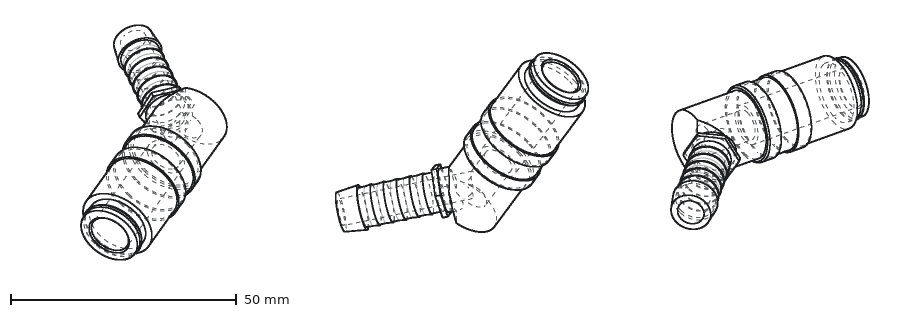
import cadquery as cq
import math


spigot_radius = 7.0
lip_radius = 7.25
body_radius = 8.55
ring_radius = 9.0
sleeve_radius = 8.0

lip_start = 1.3
lip_width = 0.8
spigot_end = 4.1
ring_width = 3.4
first_ring_start = 16.6
second_ring_start = 24.6
sleeve_end = 42.5
ring_chamfer = 0.4

bore_radius = 4.6
bore_chamfer = 0.4
inner_bore_radius = 3.5

stem_angle = 45
stem_origin_y = 34.9
stem_length = 32.5
stem_radius = 4.5
stem_bore_radius = 3.0
neck_radius = 4.95
shoulder_distance = 7.0

collar_across_flats = 11.0
collar_width = 1.2
collar_outer_setback = 22.5

end_barb_radius = 5.1
end_barb_length = 5.0
barb_height = 0.2
barb_length = 1.5
barb_pitch = 3.0
barb_count = 5

first_ring_end = first_ring_start + ring_width
body_end = second_ring_start + ring_width
barb_radius = stem_radius + barb_height
collar_start = stem_length - collar_outer_setback - collar_width
collar_across_corners = collar_across_flats / math.cos(math.pi / 6)
inner_bore_end = stem_origin_y + stem_bore_radius / math.sin(math.radians(stem_angle))

stem_plane = cq.Plane(
    origin=(0, stem_origin_y, 0),
    xDir=(0, 0, 1),
    normal=(-math.sin(math.radians(stem_angle)), math.cos(math.radians(stem_angle)), 0),
)


def revolve_about_y(workplane, profile):
    """Full revolution of (radius, distance) points about the workplane's local Y axis."""
    return workplane.polyline(profile).close().revolve(360, (0, 0, 0), (0, 1, 0))


def make_body():
    """Revolved outside of the coupling body, with its sleeve cut square to the stem."""
    lip_end = lip_start + lip_width
    profile = [
        (0, 0),
        (spigot_radius, 0),
        (spigot_radius, lip_start),
        (lip_radius, lip_start + lip_width / 2),
        (spigot_radius, lip_end),
        (spigot_radius, spigot_end),
        (body_radius, spigot_end),
        (body_radius, first_ring_start),
        (ring_radius, first_ring_start),
        (ring_radius, first_ring_end),
        (body_radius, first_ring_end),
        (body_radius, second_ring_start),
        (ring_radius, second_ring_start),
        (ring_radius, body_end - ring_chamfer),
        (ring_radius - ring_chamfer, body_end),
        (sleeve_radius, body_end),
        (sleeve_radius, sleeve_end),
        (0, sleeve_end),
    ]
    body = revolve_about_y(cq.Workplane("XY"), profile)
    cutter_size = 4 * sleeve_radius
    cutter = (
        cq.Workplane(stem_plane)
        .workplane(offset=shoulder_distance)
        .rect(cutter_size, cutter_size)
        .extrude(cutter_size)
    )
    return body.cut(cutter)


def make_stem():
    """Revolved hose stem with a large end barb and a row of small barbs."""
    barbs_end = stem_length - end_barb_length
    profile = [
        (0, stem_length),
        (stem_radius, stem_length),
        (end_barb_radius, barbs_end),
        (stem_radius, barbs_end),
    ]
    for index in range(barb_count):
        barb_root = barbs_end - index * barb_pitch - (barb_pitch - barb_length)
        barb_edge = barb_root - barb_length
        profile += [(stem_radius, barb_root), (barb_radius, barb_edge), (stem_radius, barb_edge)]
    profile += [
        (stem_radius, collar_start),
        (neck_radius, collar_start),
        (neck_radius, 0),
        (0, 0),
    ]
    profile_plane = cq.Plane(
        origin=stem_plane.origin,
        xDir=stem_plane.xDir,
        normal=stem_plane.yDir * -1,
    )
    return revolve_about_y(cq.Workplane(profile_plane), profile)


def make_collar():
    """Hexagonal collar with two flats facing up and down and two corners in the XY plane."""
    return (
        cq.Workplane(stem_plane)
        .workplane(offset=collar_start)
        .transformed(rotate=(0, 0, 90))
        .polygon(6, collar_across_corners)
        .extrude(collar_width)
    )


def make_passage():
    """Revolved bore of the body: chamfered mouth, main bore and blind inner bore."""
    profile = [
        (0, 0),
        (bore_radius + bore_chamfer, 0),
        (bore_radius, bore_chamfer),
        (bore_radius, body_end),
        (inner_bore_radius, body_end),
        (inner_bore_radius, inner_bore_end),
        (0, inner_bore_end),
    ]
    return revolve_about_y(cq.Workplane("XY"), profile)


def make_stem_bore():
    """Straight bore from the axis crossing out through the hose end."""
    return cq.Workplane(stem_plane).circle(stem_bore_radius).extrude(stem_length)


result = make_body().union(make_stem()).union(make_collar())
result = result.cut(make_passage()).cut(make_stem_bore())